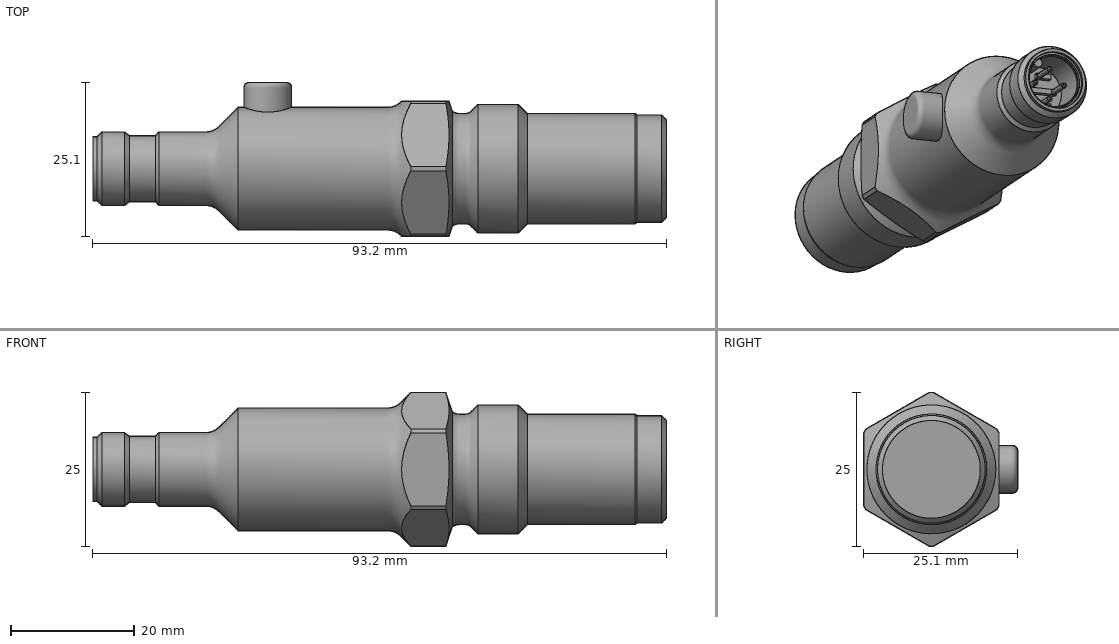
import cadquery as cq
import math

LENGTH = 93.2

LIP_DIA = 10.47
LIP_LENGTH = 0.69
PLUG_DIA = 12.0
PLUG_GROOVE_DIA = 10.8
GROOVE_FIRST_EDGE = 5.1
GROOVE_FLOOR_START = 5.9
GROOVE_FLOOR_END = 10.15
GROOVE_LAST_EDGE = 10.7

BODY_DIA = 20.0
BODY_START = 23.6
BLEND_RADIUS = 3.0

HEX_ACROSS_FLATS = 22.0
HEX_CORNER_DIA = 25.0
HEX_SIDES = 6
HEX_TURN = 30.0
HEX_CROWN_START = 51.65
HEX_BACK_ANGLE = 71.5

NECK_DIA = 18.0
NECK_START = 59.5
NECK_END = 60.6
HEX_NECK_BLEND_RADIUS = 1.9
HEX_NECK_BLEND_ANGLE = 35.0
COLLAR_NECK_BLEND_RADIUS = 1.15
COLLAR_DIA = 20.95
COLLAR_END = 69.1
TUBE_DIA = 18.0
TUBE_END = 88.1
TIP_DIA = 17.5
TIP_START = 88.4
TIP_CHAMFER = 0.8

BUTTON_DIA = 7.8
BUTTON_X = 28.4
BUTTON_TOP = 14.05
BUTTON_ROUND = 0.9

MOUTH_DIA = 9.45
MOUTH_DEPTH = 0.5
ENTRY_DIA = 8.8
ENTRY_DEPTH = 1.1
SOCKET_DIA = 8.4
SOCKET_DEPTH = 8.0
PIN_DIA = 0.84
PIN_COUNT = 4
PIN_CIRCLE_RADIUS = 2.5
PIN_TIP_X = 2.4
PIN_TIP_CHAMFER = 0.2

RIB_WIDTH = 0.84
RIB_HEIGHT = 1.0
SIDE_RIB_REACH = 2.0

KEY_DIA = 1.5
KEY_CENTER_RADIUS = 3.95
KEY_ANGLE = 45.0
KEY_START = 0.7

CONE_ANGLE = 45.0


def arc_offset(radius, angle):
    """Axial run and radial rise of an arc that starts parallel to X and turns by angle (degrees)."""
    turn = math.radians(angle)
    return radius * math.sin(turn), radius * (1 - math.cos(turn))


def turned_body():
    lip_r = LIP_DIA / 2
    plug_r = PLUG_DIA / 2
    groove_r = PLUG_GROOVE_DIA / 2
    body_r = BODY_DIA / 2
    crown_r = HEX_CORNER_DIA / 2
    neck_r = NECK_DIA / 2
    collar_r = COLLAR_DIA / 2
    tube_r = TUBE_DIA / 2
    tip_r = TIP_DIA / 2

    run, rise = arc_offset(BLEND_RADIUS, CONE_ANGLE)
    mid_run, mid_rise = arc_offset(BLEND_RADIUS, CONE_ANGLE / 2)
    shoulder_x = BODY_START - (body_r - plug_r - rise)
    plug_end = shoulder_x - run
    hex_front = HEX_CROWN_START - (crown_r - body_r - rise)
    body_end = hex_front - run

    back_run, back_rise = arc_offset(HEX_NECK_BLEND_RADIUS, HEX_NECK_BLEND_ANGLE)
    back_mid_run, back_mid_rise = arc_offset(HEX_NECK_BLEND_RADIUS, HEX_NECK_BLEND_ANGLE / 2)
    hex_back = NECK_START - back_run
    hex_back_r = neck_r + back_rise
    crown_end = hex_back - (crown_r - hex_back_r) / math.tan(math.radians(HEX_BACK_ANGLE))

    neck_run, neck_rise = arc_offset(COLLAR_NECK_BLEND_RADIUS, CONE_ANGLE)
    neck_mid_run, neck_mid_rise = arc_offset(COLLAR_NECK_BLEND_RADIUS, CONE_ANGLE / 2)
    cone_start = NECK_END + neck_run
    collar_start = cone_start + collar_r - neck_r - neck_rise

    profile = (
        cq.Workplane("XY")
        .moveTo(0, 0)
        .lineTo(0, lip_r)
        .lineTo(LIP_LENGTH, lip_r)
        .lineTo(LIP_LENGTH + plug_r - lip_r, plug_r)
        .lineTo(GROOVE_FIRST_EDGE, plug_r)
        .lineTo(GROOVE_FLOOR_START, groove_r)
        .lineTo(GROOVE_FLOOR_END, groove_r)
        .lineTo(GROOVE_LAST_EDGE, plug_r)
        .lineTo(plug_end, plug_r)
        .threePointArc((plug_end + mid_run, plug_r + mid_rise), (shoulder_x, plug_r + rise))
        .lineTo(BODY_START, body_r)
        .lineTo(body_end, body_r)
        .threePointArc((body_end + mid_run, body_r + mid_rise), (hex_front, body_r + rise))
        .lineTo(HEX_CROWN_START, crown_r)
        .lineTo(crown_end, crown_r)
        .lineTo(hex_back, hex_back_r)
        .threePointArc((NECK_START - back_mid_run, neck_r + back_mid_rise), (NECK_START, neck_r))
        .lineTo(NECK_END, neck_r)
        .threePointArc((NECK_END + neck_mid_run, neck_r + neck_mid_rise), (cone_start, neck_r + neck_rise))
        .lineTo(collar_start, collar_r)
        .lineTo(COLLAR_END, collar_r)
        .lineTo(COLLAR_END + collar_r - tube_r, tube_r)
        .lineTo(TUBE_END, tube_r)
        .lineTo(TIP_START, tip_r)
        .lineTo(LENGTH - TIP_CHAMFER, tip_r)
        .lineTo(LENGTH, tip_r - TIP_CHAMFER)
        .lineTo(LENGTH, 0)
        .close()
    )
    return profile.revolve(360, (0, 0, 0), (1, 0, 0))


def hex_envelope():
    """Full-length hexagonal prism, flats facing +Y and -Y, that cuts the flats."""
    across_corners = HEX_ACROSS_FLATS / math.cos(math.pi / HEX_SIDES)
    return (
        cq.Workplane("YZ")
        .transformed(rotate=(0, 0, HEX_TURN))
        .polygon(HEX_SIDES, across_corners)
        .extrude(LENGTH)
    )


def x_cylinder(diameter, start, end):
    return cq.Workplane("YZ", origin=(start, 0, 0)).circle(diameter / 2).extrude(end - start)


def side_button():
    return (
        cq.Workplane("XZ", origin=(BUTTON_X, 0, 0))
        .circle(BUTTON_DIA / 2)
        .extrude(-BUTTON_TOP)
        .faces(">Y")
        .edges()
        .fillet(BUTTON_ROUND)
    )


def contact_pins():
    return (
        cq.Workplane("YZ", origin=(PIN_TIP_X, 0, 0))
        .polarArray(PIN_CIRCLE_RADIUS, 0, 360, PIN_COUNT)
        .circle(PIN_DIA / 2)
        .extrude(SOCKET_DEPTH - PIN_TIP_X)
        .faces("<X")
        .edges()
        .chamfer(PIN_TIP_CHAMFER)
    )


def floor_ribs():
    half_width = RIB_WIDTH / 2
    joining_length = 2 * PIN_CIRCLE_RADIUS + RIB_WIDTH
    side_length = SIDE_RIB_REACH + half_width
    side_y = half_width - side_length / 2
    plane = cq.Workplane("YZ", origin=(SOCKET_DEPTH, 0, 0))
    ribs = plane.rect(joining_length, RIB_WIDTH).extrude(-RIB_HEIGHT)
    for pin_z in (PIN_CIRCLE_RADIUS, -PIN_CIRCLE_RADIUS):
        ribs = ribs.union(plane.center(side_y, pin_z).rect(side_length, RIB_WIDTH).extrude(-RIB_HEIGHT))
    return ribs


def coding_key():
    key_angle = math.radians(KEY_ANGLE)
    key_y = KEY_CENTER_RADIUS * math.cos(key_angle)
    key_z = KEY_CENTER_RADIUS * math.sin(key_angle)
    key = x_cylinder(KEY_DIA, KEY_START, SOCKET_DEPTH).translate((0, key_y, key_z))
    return key.intersect(x_cylinder(MOUTH_DIA, 0, SOCKET_DEPTH))


body = turned_body().intersect(hex_envelope())
body = body.union(side_button())
body = body.cut(x_cylinder(MOUTH_DIA, 0, MOUTH_DEPTH))
body = body.cut(x_cylinder(ENTRY_DIA, 0, ENTRY_DEPTH))
body = body.cut(x_cylinder(SOCKET_DIA, 0, SOCKET_DEPTH))
body = body.union(coding_key())
body = body.union(floor_ribs())
result = body.union(contact_pins())